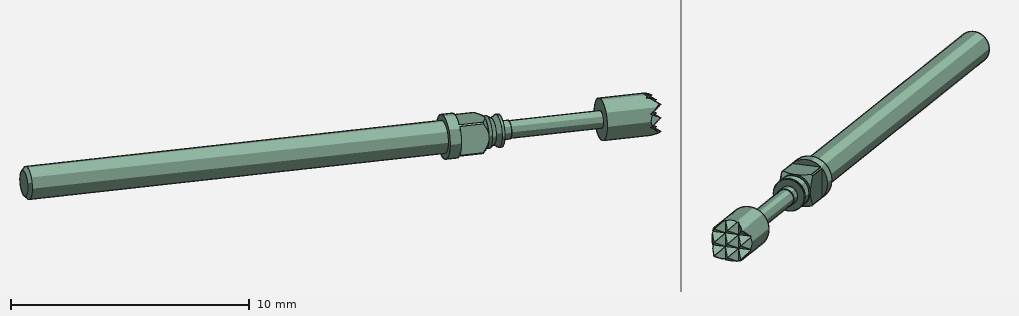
import cadquery as cq
import math


crown_d = 1.8
stem_d = 0.75
guide_d = 0.8
tube_d = 1.4
collar_d = 1.9
spool_groove_d = 1.12
ridge_root_d = 1.24
tube_tip_d = 1.1
wrench_nose_d = tube_d

tube_length = 18.5
tube_tip_length = 0.15
collar_length = 0.5
wrench_length = 1.3
ridge_flank_length = 0.15
spool_groove_length = 0.43
spool_rim_length = 0.12
guide_length = 0.4
stem_length = 4.05
crown_length = 2.45

wrench_across_flats = 1.4

teeth_per_side = 3
tooth_pitch = crown_d / teeth_per_side
groove_angle = 60
tooth_depth = tooth_pitch / 2 / math.tan(math.radians(groove_angle / 2))

wrench_start = collar_length
wrench_end = wrench_start + wrench_length
ridge_y = wrench_end + ridge_flank_length
groove_y = ridge_y + spool_groove_length / 2
rim_start = ridge_y + spool_groove_length
rim_end = rim_start + spool_rim_length
guide_end = rim_end + guide_length
crown_start = guide_end + stem_length
crown_end = crown_start + crown_length


def make_revolved_body():
    """Everything that is round about Y, from the tube tip to the crown."""
    nose_length = (collar_d - wrench_nose_d) / 2
    profile = [
        (0, -tube_length),
        (tube_tip_d / 2, -tube_length),
        (tube_d / 2, -tube_length + tube_tip_length),
        (tube_d / 2, 0),
        (collar_d / 2, 0),
        (collar_d / 2, wrench_end - nose_length),
        (wrench_nose_d / 2, wrench_end),
        (ridge_root_d / 2, wrench_end),
        (tube_d / 2, ridge_y),
        (spool_groove_d / 2, groove_y),
        (tube_d / 2, rim_start),
        (tube_d / 2, rim_end),
        (guide_d / 2, rim_end),
        (guide_d / 2, guide_end),
        (stem_d / 2, guide_end),
        (stem_d / 2, crown_start),
        (crown_d / 2, crown_start),
        (crown_d / 2, crown_end),
        (0, crown_end),
    ]
    return cq.Workplane("XY").polyline(profile).close().revolve(360, (0, 0, 0), (0, 1, 0))


def make_wrench_cutter():
    """Square-holed block that leaves four flats on the wrench section."""
    return (
        cq.Workplane("XZ", origin=(0, wrench_end, 0))
        .rect(2 * collar_d, 2 * collar_d)
        .rect(wrench_across_flats, wrench_across_flats)
        .extrude(wrench_length)
    )


def make_crown_groove(offset):
    """V-groove along Z whose bottom lies at X = offset."""
    half_width = tooth_pitch / 2
    return (
        cq.Workplane("XY")
        .moveTo(offset - half_width, crown_end)
        .lineTo(offset, crown_end - tooth_depth)
        .lineTo(offset + half_width, crown_end)
        .close()
        .extrude(crown_d, both=True)
    )


result = make_revolved_body().cut(make_wrench_cutter())

for index in range(teeth_per_side + 1):
    groove = make_crown_groove((index - teeth_per_side / 2) * tooth_pitch)
    crossing_groove = groove.rotate((0, 0, 0), (0, 1, 0), 90)
    result = result.cut(groove).cut(crossing_groove)